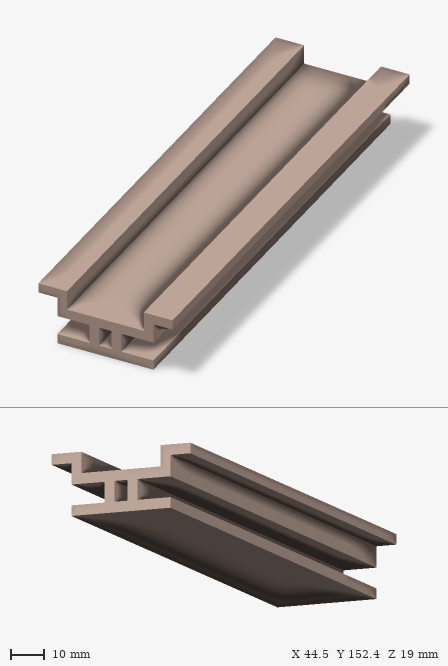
import cadquery as cq

length = 152.4
width = 44.5
height = 19.0
wall = 3.2

body_width = 31.9
channel_width = body_width - 2 * wall
channel_depth = 6.4
floor_top = height - channel_depth
floor_bottom = floor_top - wall

web_gap = 4.1
web_thickness = 3.2
web_height = floor_bottom - wall


def bar(bar_width, bar_height, bottom, center_x=0.0):
    """Full-length rectangular bar standing on the given level."""
    return (
        cq.Workplane("XY")
        .box(bar_width, length, bar_height, centered=(True, True, False))
        .translate((center_x, 0, bottom))
    )


result = bar(body_width, wall, 0).union(bar(body_width, wall, floor_bottom))

web_x = (web_gap + web_thickness) / 2
side_wall_x = (channel_width + wall) / 2
flange_width = (width - channel_width) / 2
flange_x = (width - flange_width) / 2

for side in (-1, 1):
    web = bar(web_thickness, web_height, wall, side * web_x)
    side_wall = bar(wall, height - floor_bottom, floor_bottom, side * side_wall_x)
    flange = bar(flange_width, wall, height - wall, side * flange_x)
    result = result.union(web).union(side_wall).union(flange)

result = result.clean()